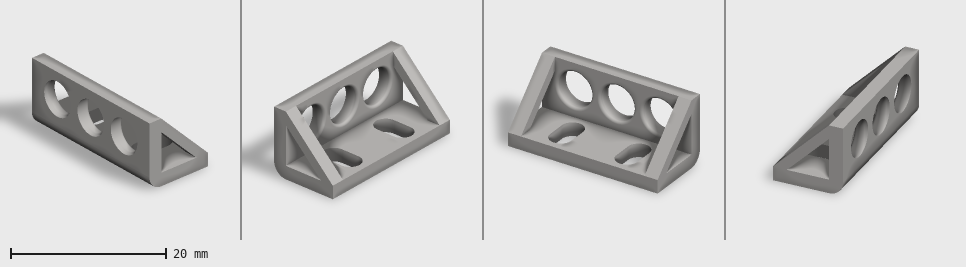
import cadquery as cq

length = 23.0
leg = 10.0
wall = 2.0
corner_radius = wall

hole_diameter = 5.2
hole_pitch = 6.5
hole_count = 3
hole_height = 0.6 * leg
hole_rim_radius = 0.4

slot_width = 3.25
slot_length = 6.0
slot_pitch = 10.2
slot_count = 2
slot_center_y = 0.6 * leg


def centered_positions(count, pitch):
    """X positions of a row of features centred on the bracket's length."""
    return [(i - (count - 1) / 2) * pitch for i in range(count)]


def extrude_profile(points, width):
    """Extrude a closed Y-Z outline by width, centred on X = 0."""
    return cq.Workplane("YZ").polyline(points).close().extrude(width / 2, both=True)


outline = [(0, 0), (leg, 0), (leg, wall), (wall, leg), (0, leg)]
body = extrude_profile(outline, length)
body = body.edges("|X and <Y and <Z").fillet(corner_radius)

inner_outline = [(wall, wall), (leg, wall), (leg, leg), (wall, leg)]
body = body.cut(extrude_profile(inner_outline, length - 2 * wall))

window_outline = [(wall, wall), (leg - wall, wall), (wall, leg - wall)]
body = body.cut(extrude_profile(window_outline, length))

for x in centered_positions(hole_count, hole_pitch):
    hole = (
        cq.Workplane("XZ")
        .center(x, hole_height)
        .circle(hole_diameter / 2)
        .extrude(-wall)
    )
    body = body.cut(hole)
    inner_rim = cq.selectors.NearestToPointSelector((x, wall, hole_height))
    body = body.edges(inner_rim).fillet(hole_rim_radius)

for x in centered_positions(slot_count, slot_pitch):
    slot = (
        cq.Workplane("XY")
        .center(x, slot_center_y)
        .slot2D(slot_length, slot_width, 90)
        .extrude(wall)
    )
    body = body.cut(slot)

result = body